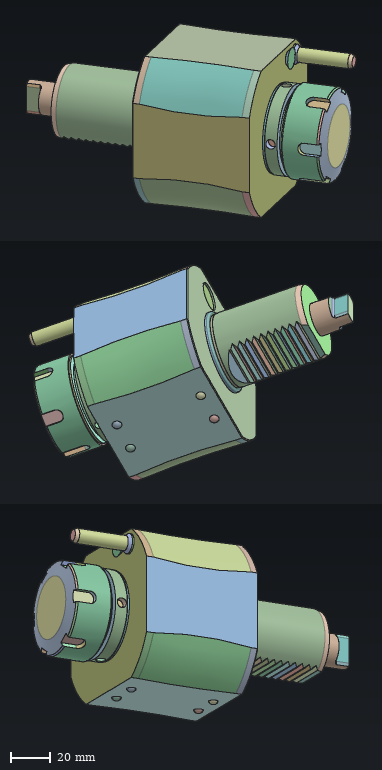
import cadquery as cq
import math


block_length = 64.0
block_width = 86.0
block_height = 80.0
barrel_radius = 47.55
waist_radius = 46.75
land_length = 4.0
block_chamfer = 0.5

shank_radius = 20.0
shank_length = 53.0
shank_chamfer_length = 3.0
shank_chamfer_depth = 0.8
relief_radius = 19.8
relief_length = 3.6
collar_radius = 21.8
collar_length = 2.2
collar_fillet = 1.2

flat_depth = 16.0
flat_end_x = -9.4
tooth_count = 10
tooth_pitch = 4.0
first_root_x = -48.0
tooth_depth = 1.7

journal_radius = 8.85
journal_end_x = -63.7
tang_tip_x = -72.2
tang_half_width = 3.7
tang_edge_height = 6.6
tang_edge_inset = 0.5
tang_root_fillet = 1.1

nose_radius = 24.0
nose_foot_radius = 23.6
nose_foot_length = 1.2
nose_end_x = 72.1
neck_radius = 20.4
neck_end_x = 74.2
ring_hole_count = 4
ring_hole_diameter = 5.1
ring_hole_depth = 4.0
ring_hole_x = 68.5

nut_radius = 25.0
nut_start_x = 75.2
nut_bevel_x = 94.0
nut_shoulder_x = 95.0
nut_shoulder_radius = 24.4
nut_end_x = 96.9
nut_face_radius = 16.5
slot_count = 6
slot_width = 6.6
slot_floor_radius = 22.2
slot_start_x = 83.8
long_slot_start_x = 80.1
long_slot_index = 1

pin_y = 23.6
pin_z = 32.3
pin_radius = 4.0
pin_end_x = 96.5
pin_chamfer_length = 2.0
pin_chamfer_depth = 1.0
pin_collar_radius = 5.3
pin_collar_land = 0.9
pin_collar_length = 2.7
screw_y = 13.8
screw_z = 33.6
screw_root_radius = 3.65
screw_head_radius = 5.65
screw_head_height = 2.0

recess_y = 16.0
recess_z = 27.6
recess_diameter = 15.0
recess_depth = 1.0

ball_xs = (8.2, 55.2)
ball_ys = (-8.4, 8.4)
ball_radius = 2.75
ball_projection = 1.6

overlap = 1.0


def turned(points, y=0.0, z=0.0):
    """Revolve an (x, radius) profile about the line parallel to X through (y, z)."""
    x_first = points[0][0]
    x_last = points[-1][0]
    profile = [(x_first, 0)] + points + [(x_last, 0)]
    body = cq.Workplane("XY").polyline(profile).close().revolve(360, (0, 0, 0), (1, 0, 0))
    return body.translate((0, y, z))


def box_between(x0, x1, y0, y1, z0, z1):
    return cq.Workplane("XY").box(x1 - x0, y1 - y0, z1 - z0, centered=False).translate((x0, y0, z0))


def make_block():
    half_width = block_width / 2
    half_height = block_height / 2
    barrel = (
        cq.Workplane("XY")
        .lineTo(0, barrel_radius)
        .lineTo(land_length, barrel_radius)
        .threePointArc((block_length / 2, waist_radius), (block_length - land_length, barrel_radius))
        .lineTo(block_length, barrel_radius)
        .lineTo(block_length, 0)
        .close()
        .revolve(360, (0, 0, 0), (1, 0, 0))
    )
    envelope = box_between(0, block_length, -half_width, half_width, -half_height, half_height)
    block = barrel.intersect(envelope).faces("<X").chamfer(block_chamfer)
    recess = (
        cq.Workplane("YZ")
        .center(recess_y, recess_z)
        .circle(recess_diameter / 2)
        .extrude(recess_depth)
    )
    return block.cut(recess)


def make_flat_cutter():
    """Space below the toothed flat: a 45 degree run-out and 90 degree V grooves."""
    below = shank_radius + overlap
    start_x = -shank_length - overlap
    run_out = below - flat_depth
    points = [(start_x, -below), (start_x, -flat_depth)]
    for index in range(tooth_count):
        root_x = first_root_x + index * tooth_pitch
        points.append((root_x - tooth_depth, -flat_depth))
        points.append((root_x, -flat_depth + tooth_depth))
        points.append((root_x + tooth_depth, -flat_depth))
    points.append((flat_end_x, -flat_depth))
    points.append((flat_end_x + run_out, -below))
    return cq.Workplane("XZ").polyline(points).close().extrude(shank_radius, both=True)


def make_shank():
    body = turned([
        (-shank_length, shank_radius - shank_chamfer_depth),
        (-shank_length + shank_chamfer_length, shank_radius),
        (-relief_length, shank_radius),
        (-relief_length, relief_radius),
        (overlap, relief_radius),
    ])
    collar = turned([(-collar_length, collar_radius), (overlap, collar_radius)])
    collar = collar.edges("<X").fillet(collar_fillet)
    return body.cut(make_flat_cutter()).union(collar)


def make_tang():
    """Round journal whose tip is milled to a flat tang with eased long edges."""
    journal = turned([(tang_tip_x, journal_radius), (overlap - shank_length, journal_radius)])
    tip_half_width = tang_half_width - tang_edge_inset
    tip_height = math.sqrt(journal_radius**2 - tip_half_width**2)
    right_side = [
        (tip_half_width, -journal_radius),
        (tip_half_width, -tip_height),
        (tang_half_width, -tang_edge_height),
        (tang_half_width, tang_edge_height),
        (tip_half_width, tip_height),
        (tip_half_width, journal_radius),
    ]
    left_side = [(-y, -z) for y, z in right_side]
    blade = (
        cq.Workplane("YZ", origin=(tang_tip_x, 0, 0))
        .polyline(right_side + left_side)
        .close()
        .extrude(journal_end_x - tang_tip_x)
    )
    root_half_width = tang_half_width + tang_root_fillet
    root_x = journal_end_x - tang_root_fillet
    root = (
        cq.Workplane("XY")
        .moveTo(root_x, -tang_half_width)
        .radiusArc((journal_end_x, -root_half_width), tang_root_fillet)
        .lineTo(journal_end_x, root_half_width)
        .radiusArc((root_x, tang_half_width), tang_root_fillet)
        .close()
        .extrude(journal_radius, both=True)
    )
    shaft = box_between(
        journal_end_x, 0, -journal_radius, journal_radius, -journal_radius, journal_radius
    )
    return journal.intersect(blade.union(root).union(shaft))


def make_nose():
    nose = turned([
        (block_length - overlap, nose_foot_radius),
        (block_length + nose_foot_length, nose_foot_radius),
        (block_length + nose_foot_length, nose_radius),
        (nose_end_x, nose_radius),
        (nose_end_x, neck_radius),
        (neck_end_x, neck_radius),
        (neck_end_x, nose_radius),
        (nut_start_x, nose_radius),
    ])
    hole = (
        cq.Workplane("XY", origin=(ring_hole_x, 0, nose_radius - ring_hole_depth))
        .circle(ring_hole_diameter / 2)
        .extrude(ring_hole_depth + overlap)
    )
    for index in range(ring_hole_count):
        angle = index * 360 / ring_hole_count
        nose = nose.cut(hole.rotate((0, 0, 0), (1, 0, 0), angle))
    return nose


def make_nut_slot(start_x):
    """Flat-floored slot with a round inner end, cut into the -Y side of the nut."""
    half_width = slot_width / 2
    centre_x = start_x + half_width
    open_end_x = nut_end_x + overlap
    return (
        cq.Workplane("XZ", origin=(0, -slot_floor_radius, 0))
        .moveTo(open_end_x, half_width)
        .lineTo(centre_x, half_width)
        .threePointArc((start_x, 0), (centre_x, -half_width))
        .lineTo(open_end_x, -half_width)
        .close()
        .extrude(nut_radius - slot_floor_radius + overlap)
    )


def make_nut():
    nut = turned([
        (nut_start_x, nut_radius),
        (nut_bevel_x, nut_radius),
        (nut_shoulder_x, nut_shoulder_radius),
        (nut_end_x, nut_face_radius),
    ])
    for index in range(slot_count):
        start_x = long_slot_start_x if index == long_slot_index else slot_start_x
        angle = index * 360 / slot_count
        nut = nut.cut(make_nut_slot(start_x).rotate((0, 0, 0), (1, 0, 0), angle))
    return nut


def make_pin():
    pin = turned([
        (block_length - overlap, pin_collar_radius),
        (block_length + pin_collar_land, pin_collar_radius),
        (block_length + pin_collar_length, pin_radius),
        (pin_end_x - pin_chamfer_length, pin_radius),
        (pin_end_x, pin_radius - pin_chamfer_depth),
    ], pin_y, pin_z)
    screw = turned([
        (block_length - overlap, screw_root_radius),
        (block_length, screw_root_radius),
        (block_length + screw_head_height, screw_head_radius),
    ], screw_y, screw_z)
    return pin.union(screw)


def make_balls():
    centre_z = -block_height / 2 - ball_projection + ball_radius
    centres = [(x, y, centre_z) for x in ball_xs for y in ball_ys]
    return cq.Workplane("XY").pushPoints(centres).sphere(ball_radius)


result = (
    make_block()
    .union(make_shank())
    .union(make_tang())
    .union(make_nose())
    .union(make_nut())
    .union(make_pin())
    .union(make_balls())
)